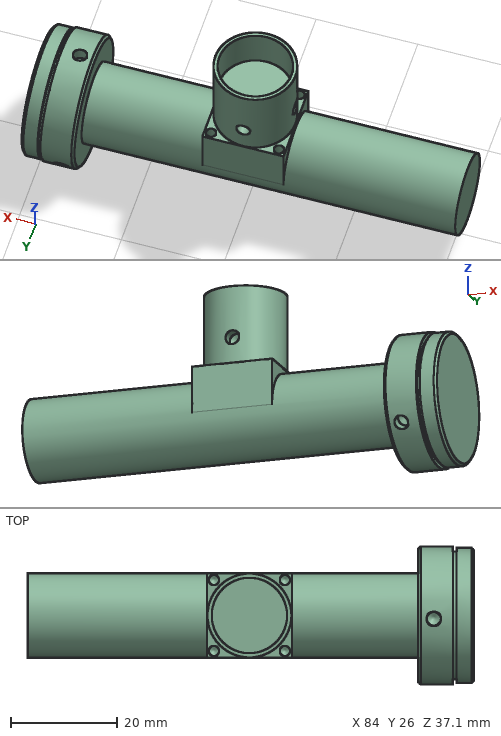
import cadquery as cq
import math

total_length = 84.0
tube_diameter = 16.0

flange_length = 10.5
flange_diameter = 26.0
rear_rim_diameter = 25.5
rear_rim_length = 3.3
groove_diameter = 24.1
groove_width = 0.7
rim_chamfer = 0.5

block_center_x = 41.75
block_size = tube_diameter
block_top_z = 9.0
cup_diameter = 15.8
cup_bore_diameter = 14.2
cup_top_z = 24.1
cup_bore_depth = 7.8

drill_point_angle = 118.0
set_screw_diameter = 2.7
cup_screw_z = 14.0
cup_screw_count = 3
cup_screw_step = -90.0
cup_screw_depth = 2.5
flange_screw_offset = 7.6
flange_screw_count = 3
flange_screw_tilt = 3.0
flange_screw_depth = 2.5
corner_hole_diameter = 1.9
corner_hole_spacing = 13.35
corner_hole_depth = 3.4


def cylinder_along_z(diameter, bottom_z, top_z):
    """Upright cylinder centred on the Z axis."""
    return cq.Workplane("XY").workplane(offset=bottom_z).circle(diameter / 2).extrude(top_z - bottom_z)


def drilled_hole(diameter, depth, surface_z):
    """Cutter for a hole drilled down from surface_z, with a conical point below depth."""
    radius = diameter / 2
    floor_z = surface_z - depth
    tip_z = floor_z - radius / math.tan(math.radians(drill_point_angle / 2))
    profile = [(0, tip_z), (radius, floor_z), (radius, surface_z), (0, surface_z)]
    return cq.Workplane("XZ").polyline(profile).close().revolve(360, (0, 0), (0, 1))


def make_tube():
    return cq.Workplane("YZ").circle(tube_diameter / 2).extrude(total_length)


def make_flange():
    """Two chamfered rims with a narrow groove between them, turned about X."""
    start_x = total_length - flange_length
    rear_rim_x = total_length - rear_rim_length
    groove_x = rear_rim_x - groove_width
    front_radius = flange_diameter / 2
    rear_radius = rear_rim_diameter / 2
    groove_radius = groove_diameter / 2
    profile = [
        (start_x, 0),
        (start_x, front_radius - rim_chamfer),
        (start_x + rim_chamfer, front_radius),
        (groove_x, front_radius),
        (groove_x, groove_radius),
        (rear_rim_x, groove_radius),
        (rear_rim_x, rear_radius),
        (total_length - rim_chamfer, rear_radius),
        (total_length, rear_radius - rim_chamfer),
        (total_length, 0),
    ]
    return cq.Workplane("XY").polyline(profile).close().revolve(360, (0, 0), (1, 0))


def cut_flange_screws(body):
    screw_x = total_length - flange_screw_offset
    cutter = drilled_hole(set_screw_diameter, flange_screw_depth, flange_diameter / 2)
    cutter = cutter.translate((screw_x, 0, 0))
    for index in range(flange_screw_count):
        angle = flange_screw_tilt + index * 360 / flange_screw_count
        body = body.cut(cutter.rotate((0, 0, 0), (1, 0, 0), angle))
    return body


def make_block_and_cup():
    """Square block reaching down to the tube axis, carrying the cup with its bore and set-screw holes."""
    block = cq.Workplane("XY").rect(block_size, block_size).extrude(block_top_z)
    body = block.union(cylinder_along_z(cup_diameter, block_top_z, cup_top_z))
    body = body.cut(cylinder_along_z(cup_bore_diameter, cup_top_z - cup_bore_depth, cup_top_z))

    screw = drilled_hole(set_screw_diameter, cup_screw_depth, cup_diameter / 2)
    screw = screw.rotate((0, 0, 0), (1, 0, 0), 90).translate((0, 0, cup_screw_z))
    for index in range(cup_screw_count):
        body = body.cut(screw.rotate((0, 0, 0), (0, 0, 1), index * cup_screw_step))
    return body.translate((block_center_x, 0, 0))


def cut_corner_holes(body):
    cutter = drilled_hole(corner_hole_diameter, corner_hole_depth, block_top_z)
    half_spacing = corner_hole_spacing / 2
    for side_x in (-1, 1):
        for side_y in (-1, 1):
            corner = (block_center_x + side_x * half_spacing, side_y * half_spacing, 0)
            body = body.cut(cutter.translate(corner))
    return body


result = make_tube().union(make_flange()).union(make_block_and_cup())
result = cut_flange_screws(result)
result = cut_corner_holes(result)